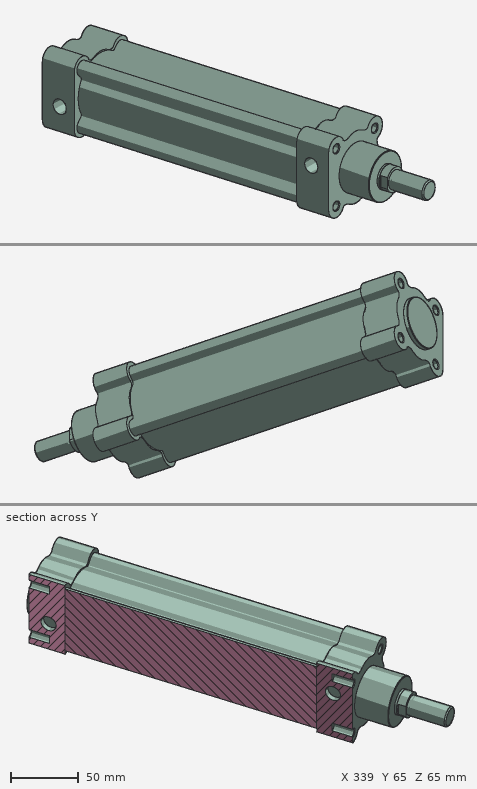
import cadquery as cq
import math


total_length = 339.0
rear_boss_length = 3.5
cover_length = 30.0
barrel_length = 207.0
nose_length = 27.8
rear_cover_start = rear_boss_length
barrel_start = rear_cover_start + cover_length
front_cover_start = barrel_start + barrel_length
nose_start = front_cover_start + cover_length
rod_start = nose_start + nose_length

cover_width = 65.0
screw_pitch = 46.5
cover_half = cover_width / 2
screw_offset = screw_pitch / 2
ear_radius = cover_half - screw_offset
ledge_height = 26.0
bulge_height = 29.0
bulge_radius = 17.0
bulge_fillet = 9.0
ear_root_fillet = 2.5
boss_diameter = 40.0
boss_chamfer = 0.5

screw_hole_diameter = 6.8
screw_hole_depth = 17.0
screw_hole_chamfer = 0.7
port_diameter = 12.2
port_depth = 13.5
port_inset = 16.3
port_drop = 8.5

barrel_wall_radius = 27.8
lobe_radius = 6.0
lobe_root_fillet = 2.0

collar_diameter = 20.5
collar_length = 1.7
rod_diameter = 20.0
shank_length = 8.8
flat_start = 2.7
flats_width = 17.5
neck_diameter = 15.5
neck_length = 2.0
thread_diameter = 16.0
thread_run_in = 1.0
thread_chamfer = 1.0

edge_tolerance = 0.05


def on_x(x):
    """Work plane facing +X, whose local axes are Y and Z."""
    return cq.Workplane("YZ", origin=(x, 0, 0))


def screw_points():
    return [(y, z) for y in (-screw_offset, screw_offset) for z in (-screw_offset, screw_offset)]


def bulge():
    """Crowned strip on the +Z side, blended by concave fillets into the ledge."""
    arc_centre = bulge_height - bulge_radius
    fillet_centre = ledge_height + bulge_fillet
    rise = fillet_centre - arc_centre
    foot = math.sqrt((bulge_radius + bulge_fillet) ** 2 - rise**2)
    lean = math.atan2(foot, rise)
    tangent_y = bulge_radius * math.sin(lean)
    tangent_z = arc_centre + bulge_radius * math.cos(lean)
    mid_y = foot - bulge_fillet * math.sin(lean / 2)
    mid_z = fillet_centre - bulge_fillet * math.cos(lean / 2)
    return (
        on_x(0)
        .moveTo(-foot, 0)
        .lineTo(-foot, ledge_height)
        .threePointArc((-mid_y, mid_z), (-tangent_y, tangent_z))
        .threePointArc((0, bulge_height), (tangent_y, tangent_z))
        .threePointArc((mid_y, mid_z), (foot, ledge_height))
        .lineTo(foot, 0)
        .close()
        .extrude(cover_length)
    )


def is_ear_root(edge):
    """True for the inner corner where an ear leaves a ledge."""
    centre = edge.Center()
    nearer, farther = sorted((abs(centre.y), abs(centre.z)))
    return abs(farther - ledge_height) < edge_tolerance and nearer < screw_offset


def cover_block():
    """Square cover with four ears, bulges on +Y, +Z and -Z, and a full flat side on -Y."""
    block = on_x(0).rect(2 * ledge_height, 2 * ledge_height).extrude(cover_length)
    block = block.union(on_x(0).pushPoints(screw_points()).circle(ear_radius).extrude(cover_length))
    flat_side = (
        on_x(0)
        .center(-cover_half / 2, 0)
        .rect(cover_half, screw_pitch)
        .extrude(cover_length)
    )
    block = block.union(flat_side).edges("|X").filter(is_ear_root).fillet(ear_root_fillet)
    for angle in (0, 90, 180):
        block = block.union(bulge().rotate((0, 0, 0), (1, 0, 0), -angle))
    return block


def screw_holes():
    """Blind holes from the outer face at x = 0, with chamfered mouths."""
    mouth_radius = screw_hole_diameter / 2 + screw_hole_chamfer
    holes = on_x(0).pushPoints(screw_points()).circle(screw_hole_diameter / 2).extrude(screw_hole_depth)
    for y, z in screw_points():
        mouth = (
            on_x(0)
            .center(y, z)
            .circle(mouth_radius)
            .workplane(offset=screw_hole_chamfer)
            .circle(screw_hole_diameter / 2)
            .loft()
        )
        holes = holes.union(mouth)
    return holes


def make_cover(boss_length):
    """Cover with its outer face at x = 0 and a round boss reaching towards -X."""
    boss = on_x(0).circle(boss_diameter / 2).extrude(-boss_length).faces("<X").chamfer(boss_chamfer)
    port = (
        cq.Workplane("XZ", origin=(port_inset, -cover_half, -port_drop))
        .circle(port_diameter / 2)
        .extrude(-port_depth)
    )
    return cover_block().union(boss).cut(screw_holes()).cut(port)


def is_lobe_root(edge):
    """True for the inner corner where a lobe leaves the round barrel wall."""
    centre = edge.Center()
    on_wall = abs(math.hypot(centre.y, centre.z) - barrel_wall_radius) < edge_tolerance
    return on_wall and min(abs(centre.y), abs(centre.z)) > lobe_radius


def make_barrel():
    """Round barrel with a round-ended diagonal lobe over each tie rod."""
    barrel = on_x(0).circle(barrel_wall_radius).extrude(barrel_length)
    lobe_reach = math.hypot(screw_offset, screw_offset)
    for angle in (45, 135):
        lobe_pair = (
            on_x(0)
            .slot2D(2 * (lobe_reach + lobe_radius), 2 * lobe_radius)
            .extrude(barrel_length)
            .rotate((0, 0, 0), (1, 0, 0), angle)
        )
        barrel = barrel.union(lobe_pair)
    barrel = barrel.edges("|X").filter(is_lobe_root).fillet(lobe_root_fillet)
    return barrel.translate((barrel_start, 0, 0))


def make_rod():
    """Turned rod end: collar, shank with two wrench flats, neck and plain thread cylinder."""
    collar_radius = collar_diameter / 2
    rod_radius = rod_diameter / 2
    neck_radius = neck_diameter / 2
    thread_radius = thread_diameter / 2
    collar_end = rod_start + collar_length
    shank_end = rod_start + shank_length
    neck_end = shank_end + neck_length
    rod = (
        cq.Workplane("XY")
        .moveTo(rod_start, 0)
        .lineTo(rod_start, collar_radius)
        .lineTo(collar_end, collar_radius)
        .lineTo(collar_end, rod_radius)
        .lineTo(shank_end, rod_radius)
        .lineTo(shank_end, neck_radius)
        .lineTo(neck_end, neck_radius)
        .lineTo(neck_end + thread_run_in, thread_radius)
        .lineTo(total_length - thread_chamfer, thread_radius)
        .lineTo(total_length, thread_radius - thread_chamfer)
        .lineTo(total_length, 0)
        .close()
        .revolve(360, (0, 0, 0), (1, 0, 0))
    )
    for side in (-1, 1):
        flat_cut = (
            cq.Workplane("XY")
            .box(shank_length - flat_start, rod_diameter, rod_diameter, centered=(False, True, True))
            .translate((rod_start + flat_start, side * (flats_width + rod_diameter) / 2, 0))
        )
        rod = rod.cut(flat_cut)
    return rod


rear_cover = make_cover(rear_boss_length).translate((rear_cover_start, 0, 0))
front_cover = make_cover(nose_length).rotate((0, 0, 0), (0, 1, 0), 180).translate((nose_start, 0, 0))
barrel = make_barrel()
rod = make_rod()

result = cq.Compound.makeCompound([rear_cover.val(), barrel.val(), front_cover.val(), rod.val()])